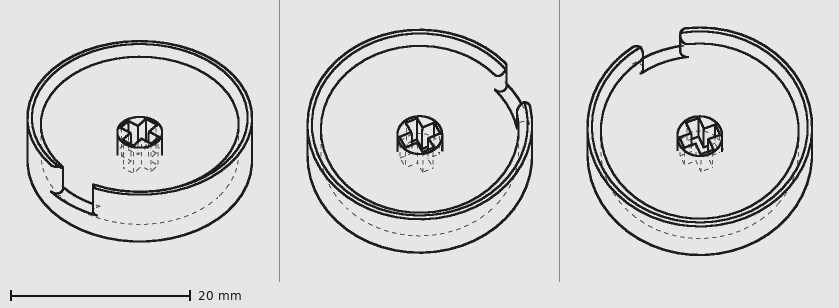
import cadquery as cq
import math

outer_radius = 12.5
height = 8.0
wall = 1.5
floor_thickness = 1.5
bottom_fillet = 1.5
inner_fillet = 1.0
rim_land = 0.5
rim_bevel_height = 1.0
inner_radius = outer_radius - wall

post_radius = 2.5
post_top = 5.8
post_fillet = 1.0
socket_length = 4.3
socket_width_x = 1.55
socket_width_y = 1.4
socket_floor = floor_thickness
lead_in = 0.062
lead_in_depth = 0.5

notch_floor = 3.95
notch_neck = 4.55


def make_cup():
    """Round cup with a rounded base, a filleted floor and a bevelled inner rim."""
    body = cq.Workplane("XY").circle(outer_radius).extrude(height)
    body = body.faces("<Z").edges().fillet(bottom_fillet)
    cavity = (
        cq.Workplane("XY")
        .workplane(offset=floor_thickness)
        .circle(inner_radius)
        .extrude(height - floor_thickness)
        .faces("<Z")
        .edges()
        .fillet(inner_fillet)
    )
    bevel = (
        cq.Workplane("XZ")
        .moveTo(0, height - rim_bevel_height)
        .lineTo(inner_radius, height - rim_bevel_height)
        .lineTo(outer_radius - rim_land, height)
        .lineTo(0, height)
        .close()
        .revolve(360, (0, 0), (0, 1))
    )
    return body.cut(cavity).cut(bevel)


def make_post():
    """Revolved post whose concave foot blends into the cup floor."""
    foot_radius = post_radius + post_fillet
    foot_top = floor_thickness + post_fillet
    arc_offset = post_fillet * (1 - math.sqrt(0.5))
    root = floor_thickness / 2
    return (
        cq.Workplane("XZ")
        .moveTo(0, root)
        .lineTo(foot_radius, root)
        .lineTo(foot_radius, floor_thickness)
        .threePointArc(
            (post_radius + arc_offset, floor_thickness + arc_offset),
            (post_radius, foot_top),
        )
        .lineTo(post_radius, post_top)
        .lineTo(0, post_top)
        .close()
        .revolve(360, (0, 0), (0, 1))
    )


def make_socket_arm(length_x, length_y):
    """Rectangular slot that opens out slightly at the top of the post."""
    slot = (
        cq.Workplane("XY")
        .workplane(offset=socket_floor)
        .rect(length_x - 2 * lead_in, length_y - 2 * lead_in)
        .extrude(post_top - socket_floor)
    )
    mouth = (
        cq.Workplane("XY")
        .workplane(offset=post_top - lead_in_depth)
        .rect(length_x - 2 * lead_in, length_y - 2 * lead_in)
        .workplane(offset=lead_in_depth)
        .rect(length_x, length_y)
        .loft(ruled=True)
    )
    return slot.union(mouth)


def make_notch():
    """Gap in the wall, less the full-round ends left on the wall beside it."""
    end_radius = wall / 2
    end_x = notch_neck / 2 + end_radius
    middle_radius = outer_radius - end_radius
    end_y = -math.sqrt(middle_radius**2 - end_x**2)
    depth = height - notch_floor
    reach = 1.2
    wedge = (
        cq.Workplane("XY")
        .workplane(offset=notch_floor)
        .polyline([(0, 0), (-reach * end_x, reach * end_y), (reach * end_x, reach * end_y)])
        .close()
        .extrude(depth)
    )
    rounded_ends = (
        cq.Workplane("XY")
        .workplane(offset=notch_floor)
        .pushPoints([(-end_x, end_y), (end_x, end_y)])
        .circle(end_radius)
        .extrude(depth)
    )
    return wedge.cut(rounded_ends)


cup = make_cup().cut(make_notch())
result = (
    cup.union(make_post())
    .cut(make_socket_arm(socket_length, socket_width_y))
    .cut(make_socket_arm(socket_width_x, socket_length))
)